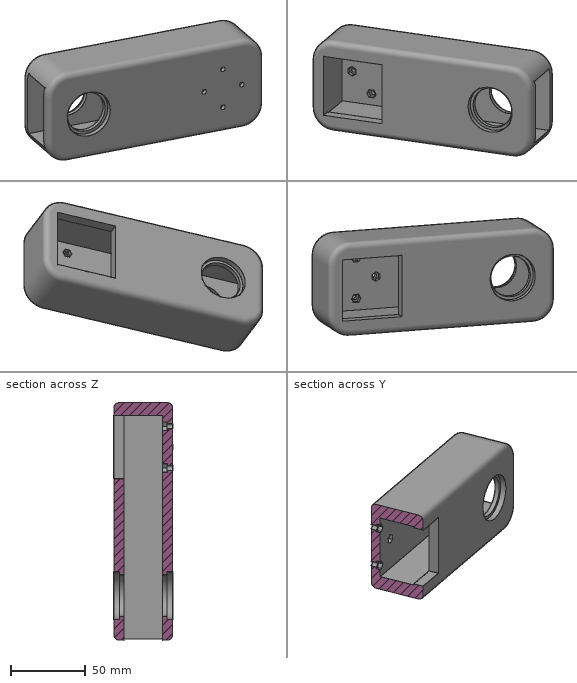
import cadquery as cq

WIDTH = 40.0
LENGTH = 160.0
HEIGHT = 64.0
CORNER_RADIUS = 15.0
EDGE_FILLET = 4.0

CAVITY_WIDTH = 25.6
CAVITY_HEIGHT = 44.0
SIDE_WALL = (WIDTH - CAVITY_WIDTH) / 2
END_WALL = 9.0
CAVITY_LENGTH = LENGTH - END_WALL

WINDOW_SIZE = 42.2
END_TO_CENTER = END_WALL + WINDOW_SIZE / 2
WINDOW_Y = LENGTH / 2 - END_TO_CENTER

OPENING_Y = -WINDOW_Y
OPENING_DIAMETER = 28.0
COUNTERBORE_DIAMETER = 32.0
COUNTERBORE_DEPTH = 4.0

SCREW_DIAMETER = 3.2
SCREW_CIRCLE_DIAMETER = 28.0
NUT_CORNER_DIAMETER = 6.4
NUT_POCKET_DEPTH = 3.2
SCREW_COUNT = 4


def side_plane(x, y):
    """Sketch plane facing +X, with local x along Y and local y along Z."""
    return cq.Workplane("YZ", origin=(x, y, 0))


def make_body():
    block = cq.Workplane("XY").box(WIDTH, LENGTH, HEIGHT)
    return block.edges("|X").fillet(CORNER_RADIUS).faces("<X or >X").edges().fillet(EDGE_FILLET)


def make_cavity():
    cavity = cq.Workplane("XY").box(CAVITY_WIDTH, CAVITY_LENGTH, CAVITY_HEIGHT)
    return cavity.translate((0, -END_WALL / 2, 0))


def make_window():
    return side_plane(-WIDTH / 2, WINDOW_Y).rect(WINDOW_SIZE, WINDOW_SIZE).extrude(WIDTH / 2)


def make_opening():
    opening = side_plane(-WIDTH / 2, OPENING_Y).circle(OPENING_DIAMETER / 2).extrude(WIDTH)
    for wall_start in (-WIDTH / 2, WIDTH / 2 - COUNTERBORE_DEPTH):
        counterbore = side_plane(wall_start, OPENING_Y).circle(COUNTERBORE_DIAMETER / 2)
        opening = opening.union(counterbore.extrude(COUNTERBORE_DEPTH))
    return opening


def make_screw_hole():
    """One hole and nut pocket on the local origin, with hexagon flats facing +Y and -Y."""
    hole = side_plane(CAVITY_WIDTH / 2, 0).circle(SCREW_DIAMETER / 2).extrude(SIDE_WALL)
    nut = side_plane(CAVITY_WIDTH / 2, 0).polygon(6, NUT_CORNER_DIAMETER).extrude(NUT_POCKET_DEPTH)
    flats_turned = nut.rotate((0, 0, 0), (1, 0, 0), 30)
    return hole.union(flats_turned).translate((0, SCREW_CIRCLE_DIAMETER / 2, 0))


def make_screw_holes():
    first_hole = make_screw_hole()
    holes = cq.Workplane("XY")
    for index in range(SCREW_COUNT):
        holes = holes.add(first_hole.rotate((0, 0, 0), (1, 0, 0), index * 360 / SCREW_COUNT))
    return holes.combine().translate((0, WINDOW_Y, 0))


result = (
    make_body()
    .cut(make_cavity())
    .cut(make_window())
    .cut(make_opening())
    .cut(make_screw_holes())
)